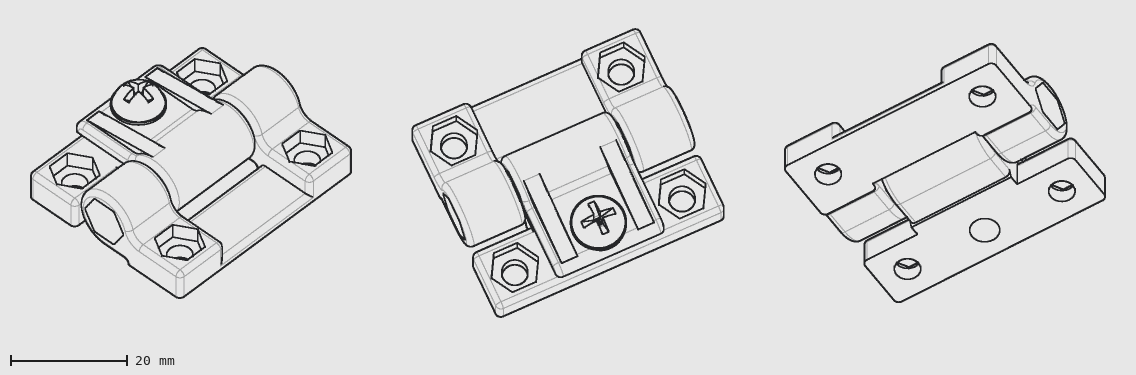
import cadquery as cq
import math


LENGTH_X = 36.0
LENGTH_Y = 43.0
LEAF_HEIGHT = 5.98
EDGE_ROUND = 1.0

BARREL_RADIUS = 12.0 / 2
RELIEF_HEIGHT = 0.47
RELIEF_HALF_WIDTH = 5.1
AXIS_X = LENGTH_X / 2
AXIS_Z = RELIEF_HEIGHT + BARREL_RADIUS
KNUCKLE_LENGTH = 11.0
CLAMP_WIDTH = 20.4

PIN_FLATS = 8.0
PIN_CORNER_ROUND = 0.5

FOOT_WIDTH = 11.0
HOLE_INSET = 5.5
HOLE_OFFSET_Y = 15.8
HOLE_DIAMETER = 4.5
NUT_FLATS = 7.7
NUT_DEPTH = 3.0

FORK_HOLLOW = 2.5
WEB_LEFT = 24.6
WEB_HEIGHT = 2.0

SUPPORT_LEAN = 0.5
JAW_BOTTOM = 8.0
JAW_TOP = 10.5
JAW_NOSE_ROUND = 2.0
JAW_HOLLOW = 1.98
RIB_START = 1.65
RIB_SLOPE = math.radians(7)
RIB_WIDTH = 3.0
RIB_OFFSET_Y = 7.22

SHANK_DIAMETER = 5.15
WASHER_DIAMETER = 9.6
WASHER_THICKNESS = 1.0
WASHER_TOP = 11.0
HEAD_DIAMETER = 9.2
HEAD_HEIGHT = 3.8
RECESS_ARM_WIDTH = 1.15
RECESS_RIM_HALF = 3.0
RECESS_RIM_Z = 13.67
RECESS_FLOOR_HALF = 1.0
RECESS_FLOOR_Z = 11.65
RECESS_TIP_Z = 11.05


def extrude_along_y(outline, width, centre_y=0.0):
    """Extrude an outline drawn on the XZ plane, symmetrically about centre_y."""
    return outline.extrude(width / 2, both=True).translate((0, centre_y, 0))


def box(x_range, width_y, z_range):
    """Box from X and Z ranges, symmetric about Y = 0."""
    size_x = x_range[1] - x_range[0]
    size_z = z_range[1] - z_range[0]
    block = cq.Workplane("XY").box(size_x, width_y, size_z, centered=(False, True, False))
    return block.translate((x_range[0], 0, z_range[0]))


def arc_point(centre, radius, angle):
    """Point (x, z) on an arc around a centre, the angle measured from +X towards +Z."""
    return centre[0] + radius * math.cos(angle), centre[1] + radius * math.sin(angle)


def barrel_point(angle):
    """Point (x, z) on the barrel surface."""
    return arc_point((AXIS_X, AXIS_Z), BARREL_RADIUS, angle)


def hollow_arc(flat_z, radius, side):
    """Start, middle and end of the concave arc from a flat to the barrel, on side +1 or -1 of the axis."""
    rise = flat_z + radius - AXIS_Z
    run = math.sqrt((BARREL_RADIUS + radius) ** 2 - rise**2)
    centre = (AXIS_X + side * run, flat_z + radius)
    barrel_angle = math.atan2(rise, side * run)
    towards_axis = math.atan2(-rise, -side * run) % math.tau
    straight_down = 1.5 * math.pi
    middle = arc_point(centre, radius, (towards_axis + straight_down) / 2)
    return (centre[0], flat_z), middle, barrel_point(barrel_angle)


def above_ground(edge):
    """True for edges that do not lie on the mounting plane."""
    return edge.Center().z > RELIEF_HEIGHT / 4


def hex_pin(length):
    """Hexagonal bar on the hinge axis, with two of its flats level."""
    outline = cq.Workplane("XZ").polygon(6, PIN_FLATS, circumscribed=True)
    bar = extrude_along_y(outline, length).rotate((0, 0, 0), (0, 1, 0), 30)
    return bar.edges("|Y").fillet(PIN_CORNER_ROUND).translate((AXIS_X, 0, AXIS_Z))


def mounting_hole(x, y):
    """Through hole with a hexagonal nut pocket open at the top, two of its flats facing X."""
    hole = cq.Workplane("XY").circle(HOLE_DIAMETER / 2).extrude(LEAF_HEIGHT)
    pocket = (
        cq.Workplane("XY", origin=(0, 0, LEAF_HEIGHT - NUT_DEPTH))
        .polygon(6, NUT_FLATS, circumscribed=True)
        .extrude(NUT_DEPTH)
    )
    return hole.union(pocket).translate((x, y, 0))


def cylinder_at_screw(diameter, z_bottom, z_top):
    """Vertical cylinder on the screw axis, which is in line with the holes of the clamp leaf."""
    cylinder = cq.Workplane("XY").circle(diameter / 2).extrude(z_top - z_bottom)
    return cylinder.translate((HOLE_INSET, 0, z_bottom))


def make_knuckle(centre_y):
    hollow_start, hollow_middle, hollow_end = hollow_arc(LEAF_HEIGHT, FORK_HOLLOW, 1)
    relief_centre = (AXIS_X + RELIEF_HALF_WIDTH - RELIEF_HEIGHT, 0)
    outline = (
        cq.Workplane("XZ")
        .moveTo(AXIS_X, RELIEF_HEIGHT)
        .lineTo(relief_centre[0], RELIEF_HEIGHT)
        .threePointArc(
            arc_point(relief_centre, RELIEF_HEIGHT, math.pi / 4),
            (AXIS_X + RELIEF_HALF_WIDTH, 0),
        )
        .lineTo(LENGTH_X, 0)
        .lineTo(LENGTH_X, LEAF_HEIGHT)
        .lineTo(*hollow_start)
        .threePointArc(hollow_middle, hollow_end)
        .threePointArc(barrel_point(math.pi), (AXIS_X, RELIEF_HEIGHT))
        .close()
    )
    knuckle = extrude_along_y(outline, KNUCKLE_LENGTH, centre_y)
    rounded = knuckle.faces("<Y or >Y").edges().filter(above_ground)
    outer_top = knuckle.faces(">X").edges(">Z")
    return rounded.add(outer_top).fillet(EDGE_ROUND)


def make_fork_leaf():
    knuckle_y = (LENGTH_Y - KNUCKLE_LENGTH) / 2
    web = box((WEB_LEFT, LENGTH_X), LENGTH_Y - KNUCKLE_LENGTH, (0, WEB_HEIGHT))
    leaf = web.faces(">Z").edges("|Y").fillet(EDGE_ROUND)
    for side in (-1, 1):
        leaf = leaf.union(make_knuckle(side * knuckle_y))
    for side in (-1, 1):
        leaf = leaf.cut(mounting_hole(LENGTH_X - HOLE_INSET, side * HOLE_OFFSET_Y))
    return leaf.cut(hex_pin(LENGTH_Y))


def make_clamp_body():
    """Jaw and barrel in one piece, slotted from the front through to the pin."""
    hollow_start, hollow_middle, hollow_end = hollow_arc(JAW_TOP, JAW_HOLLOW, -1)
    nose_centre = (JAW_NOSE_ROUND, JAW_TOP - JAW_NOSE_ROUND)
    outline = (
        cq.Workplane("XZ")
        .moveTo(AXIS_X, RELIEF_HEIGHT)
        .lineTo(0, RELIEF_HEIGHT)
        .lineTo(0, nose_centre[1])
        .threePointArc(
            arc_point(nose_centre, JAW_NOSE_ROUND, 0.75 * math.pi),
            (JAW_NOSE_ROUND, JAW_TOP),
        )
        .lineTo(*hollow_start)
        .threePointArc(hollow_middle, hollow_end)
        .threePointArc(barrel_point(0), (AXIS_X, RELIEF_HEIGHT))
        .close()
    )
    body = extrude_along_y(outline, CLAMP_WIDTH)
    body = body.faces("<Y or >Y").edges().fillet(EDGE_ROUND)
    slot = box((0, AXIS_X), CLAMP_WIDTH, (LEAF_HEIGHT, JAW_BOTTOM))
    space_for_foot = box((0, FOOT_WIDTH / 2), CLAMP_WIDTH, (0, LEAF_HEIGHT))
    return body.cut(slot).cut(space_for_foot)


def make_barrel_support():
    """Plain block that carries the barrel on the foot bar; its free side leans over the clearance."""
    wall_bottom = AXIS_X - RELIEF_HALF_WIDTH
    wall_top = wall_bottom + SUPPORT_LEAN
    outline = (
        cq.Workplane("XZ")
        .moveTo(FOOT_WIDTH / 2, 0)
        .lineTo(wall_bottom, 0)
        .lineTo(wall_top, RELIEF_HEIGHT + EDGE_ROUND)
        .lineTo(wall_top, LEAF_HEIGHT)
        .lineTo(FOOT_WIDTH / 2, LEAF_HEIGHT)
        .close()
    )
    return extrude_along_y(outline, CLAMP_WIDTH)


def make_foot_bar():
    bar = box((0, FOOT_WIDTH), LENGTH_Y, (0, LEAF_HEIGHT))
    return bar.edges("|Z or >Z").fillet(EDGE_ROUND)


def make_rib(centre_y):
    end_x, end_z = barrel_point(math.pi / 2 + RIB_SLOPE)
    start_z = end_z - (end_x - RIB_START) * math.tan(RIB_SLOPE)
    outline = (
        cq.Workplane("XZ")
        .moveTo(RIB_START, JAW_BOTTOM)
        .lineTo(RIB_START, start_z)
        .lineTo(end_x, end_z)
        .lineTo(end_x, JAW_BOTTOM)
        .close()
    )
    return extrude_along_y(outline, RIB_WIDTH, centre_y)


def make_clamp_leaf():
    leaf = make_clamp_body().union(make_barrel_support()).union(make_foot_bar())
    for side in (-1, 1):
        leaf = leaf.union(make_rib(side * RIB_OFFSET_Y))
        leaf = leaf.cut(mounting_hole(HOLE_INSET, side * HOLE_OFFSET_Y))
    leaf = leaf.cut(hex_pin(CLAMP_WIDTH))
    leaf = leaf.cut(cylinder_at_screw(SHANK_DIAMETER, 0, JAW_TOP))
    return leaf.cut(cylinder_at_screw(WASHER_DIAMETER, WASHER_TOP - WASHER_THICKNESS, WASHER_TOP))


def make_washer():
    disc = cylinder_at_screw(WASHER_DIAMETER, WASHER_TOP - WASHER_THICKNESS, WASHER_TOP)
    return disc.cut(cylinder_at_screw(SHANK_DIAMETER, 0, WASHER_TOP))


def make_cross_recess():
    arm_outline = (
        cq.Workplane("XZ")
        .polyline([
            (0, RECESS_TIP_Z),
            (RECESS_FLOOR_HALF, RECESS_FLOOR_Z),
            (RECESS_RIM_HALF, RECESS_RIM_Z),
            (RECESS_RIM_HALF, WASHER_TOP + HEAD_HEIGHT),
            (-RECESS_RIM_HALF, WASHER_TOP + HEAD_HEIGHT),
            (-RECESS_RIM_HALF, RECESS_RIM_Z),
            (-RECESS_FLOOR_HALF, RECESS_FLOOR_Z),
        ])
        .close()
    )
    arm = extrude_along_y(arm_outline, RECESS_ARM_WIDTH)
    cross = arm.union(arm.rotate((0, 0, 0), (0, 0, 1), 90))
    return cross.translate((HOLE_INSET, 0, 0))


def make_screw():
    head_radius = HEAD_DIAMETER / 2
    dome_radius = (head_radius**2 + HEAD_HEIGHT**2) / (2 * HEAD_HEIGHT)
    head_top = WASHER_TOP + HEAD_HEIGHT
    dome = cq.Workplane("XY").sphere(dome_radius).translate((HOLE_INSET, 0, head_top - dome_radius))
    head = dome.intersect(cylinder_at_screw(HEAD_DIAMETER, WASHER_TOP, head_top))
    shank = cylinder_at_screw(SHANK_DIAMETER, 0, WASHER_TOP)
    return head.union(shank).cut(make_cross_recess())


fork_leaf = make_fork_leaf()
clamp_leaf = make_clamp_leaf()
pin = hex_pin(LENGTH_Y)
washer = make_washer()
screw = make_screw()

result = cq.Compound.makeCompound([
    fork_leaf.val(),
    clamp_leaf.val(),
    pin.val(),
    washer.val(),
    screw.val(),
])